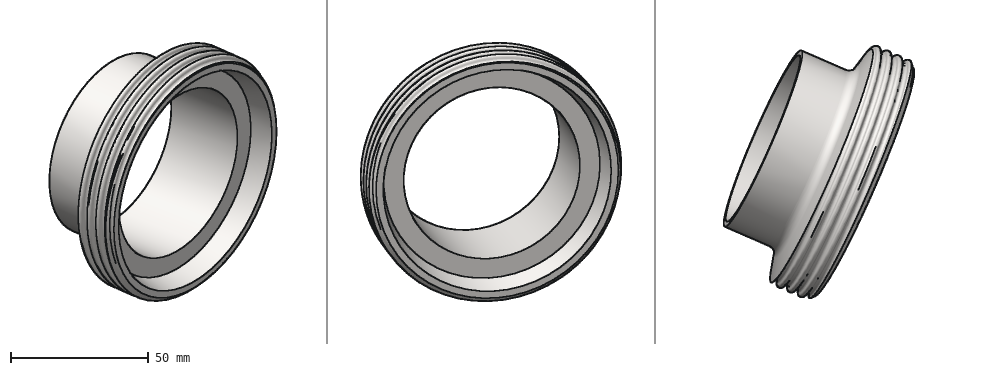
import cadquery as cq
import math


LENGTH = 40.0
TUBE_OUTER_RADIUS = 35.0
TUBE_WALL = 2.0
BORE_RADIUS = TUBE_OUTER_RADIUS - TUBE_WALL

FLANGE_RADIUS = 47.5
RIM_START = 24.0
BACK_ANGLE = math.radians(15)
NECK_FILLET = 4.0

SEAT_DEPTH = 8.2
SEAT_MOUTH_RADIUS = 42.7
SEAT_ANGLE = math.radians(15)
SEAT_FLOOR_RADIUS = SEAT_MOUTH_RADIUS - SEAT_DEPTH * math.tan(SEAT_ANGLE)

PITCH = 25.4 / 6
THREAD_DEPTH = PITCH / 2
END_CHAMFER = THREAD_DEPTH
ROOT_RADIUS = FLANGE_RADIUS - THREAD_DEPTH
FLANK_ANGLE = math.radians(15)
ROOT_ROUND = 0.23851 * PITCH
CREST_LAND = 0.1
CUTTER_CLEARANCE = 0.6
FIRST_ROOT_X = 25.18
CUTTER_START = FIRST_ROOT_X - PITCH
CUTTER_TURNS = 5


def x_of_back(radius):
    """X of the sloped flange back at a given radius."""
    return RIM_START - (FLANGE_RADIUS - radius) * math.tan(BACK_ANGLE)


def make_body():
    """Revolve the unthreaded liner about the X axis."""
    fillet_centre_radius = TUBE_OUTER_RADIUS + NECK_FILLET
    fillet_end_radius = fillet_centre_radius - NECK_FILLET * math.sin(BACK_ANGLE)
    fillet_end_x = x_of_back(fillet_end_radius)
    fillet_start_x = fillet_end_x - NECK_FILLET * math.cos(BACK_ANGLE)
    mid_angle = (math.pi / 2 - BACK_ANGLE) / 2
    fillet_mid = (
        fillet_start_x + NECK_FILLET * math.sin(mid_angle),
        fillet_centre_radius - NECK_FILLET * math.cos(mid_angle),
    )
    profile = (
        cq.Workplane("XY")
        .moveTo(0, BORE_RADIUS)
        .lineTo(0, TUBE_OUTER_RADIUS)
        .lineTo(fillet_start_x, TUBE_OUTER_RADIUS)
        .threePointArc(fillet_mid, (fillet_end_x, fillet_end_radius))
        .lineTo(RIM_START, FLANGE_RADIUS)
        .lineTo(LENGTH - END_CHAMFER, FLANGE_RADIUS)
        .lineTo(LENGTH, FLANGE_RADIUS - END_CHAMFER)
        .lineTo(LENGTH, SEAT_MOUTH_RADIUS)
        .lineTo(LENGTH - SEAT_DEPTH, SEAT_FLOOR_RADIUS)
        .lineTo(LENGTH - SEAT_DEPTH, BORE_RADIUS)
        .close()
    )
    return profile.revolve(360, (0, 0, 0), (1, 0, 0))


def make_groove_profile():
    """Groove section in the XZ plane: X is the radius, Z runs along the axis."""
    half_width = (PITCH - CREST_LAND) / 2
    sine = math.sin(FLANK_ANGLE)
    cosine = math.cos(FLANK_ANGLE)
    slope = math.tan(FLANK_ANGLE)
    sum_of_rounds = (half_width - THREAD_DEPTH * slope) / (cosine - slope * (1 - sine))
    crest_round = sum_of_rounds - ROOT_ROUND
    crest_centre = FLANGE_RADIUS - crest_round
    root_centre = ROOT_RADIUS + ROOT_ROUND
    flank_bottom = (root_centre - ROOT_ROUND * sine, ROOT_ROUND * cosine)
    flank_top = (crest_centre + crest_round * sine, half_width - crest_round * cosine)
    mid_angle = (math.pi / 2 + FLANK_ANGLE) / 2
    crest_mid = (
        crest_centre + crest_round * math.sin(mid_angle),
        half_width - crest_round * math.cos(mid_angle),
    )
    crest_end = (FLANGE_RADIUS, half_width)
    cutter_top = (FLANGE_RADIUS + CUTTER_CLEARANCE, half_width)

    def mirrored(point):
        return (point[0], -point[1])

    return (
        cq.Workplane("XZ")
        .moveTo(*flank_bottom)
        .lineTo(*flank_top)
        .threePointArc(crest_mid, crest_end)
        .lineTo(*cutter_top)
        .lineTo(*mirrored(cutter_top))
        .lineTo(*mirrored(crest_end))
        .threePointArc(mirrored(crest_mid), mirrored(flank_top))
        .lineTo(*mirrored(flank_bottom))
        .threePointArc((ROOT_RADIUS, 0), flank_bottom)
        .close()
    )


def make_thread_cutter():
    """Sweep the groove section along a helix and lay it on the X axis."""
    helix = cq.Wire.makeHelix(PITCH, PITCH * CUTTER_TURNS, FLANGE_RADIUS)
    cutter = make_groove_profile().sweep(cq.Workplane(obj=helix), isFrenet=True)
    return (
        cutter.rotate((0, 0, 0), (0, 1, 0), 90)
        .rotate((0, 0, 0), (1, 0, 0), 90)
        .translate((CUTTER_START, 0, 0))
    )


result = make_body().cut(make_thread_cutter())